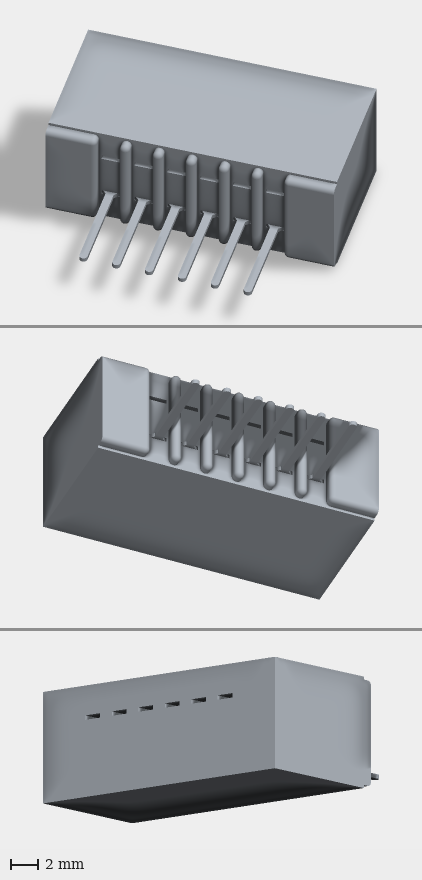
import cadquery as cq

length = 22.23
height = 8.38
housing_depth = 10.34
pin_reach = 7.35

pin_count = 6
pitch = 2.53

relief = 0.82
relief_margin = 0.22
relief_height = height - 2 * relief_margin
rib_width = 0.75
round_radius = rib_width / 2
end_block_length = 3.9

slot_width = 1.4
slot_height = 0.33
slot_row_z = 1.78
pin_width = 0.62
shoulder_half_width = 0.55
shoulder_taper = 0.25

pin_positions = [(i - (pin_count - 1) / 2) * pitch for i in range(pin_count)]
rib_positions = [x + pitch / 2 for x in pin_positions[:-1]]


def make_end_block():
    """Left end block, rounded everywhere except at the housing's end and front face."""
    block = cq.Workplane("XY").box(
        end_block_length, relief, relief_height, centered=(False, False, True)
    )
    block = block.translate((-length / 2, -relief, 0))
    inner_corners = block.edges("|Y and >X")
    front_rim = block.faces("<Y").edges("not <X")
    return block.newObject(inner_corners.vals() + front_rim.vals()).fillet(round_radius)


def make_rib(x):
    """Upright rib with round ends and a half-round front."""
    axis_y = round_radius - relief
    straight_height = relief_height - rib_width
    stem = cq.Workplane("XZ").slot2D(relief_height, rib_width, 90).extrude(-axis_y)
    rounded_front = cq.Workplane("XY").circle(round_radius).extrude(straight_height)
    rounded_front = rounded_front.translate((0, axis_y, -straight_height / 2))
    rib = stem.union(rounded_front)
    for end_z in (-straight_height / 2, straight_height / 2):
        rib = rib.union(cq.Workplane("XY").sphere(round_radius).translate((0, axis_y, end_z)))
    return rib.translate((x, 0, 0))


def make_housing():
    """Insulating body with end blocks, ribs and two rows of through slots."""
    housing = cq.Workplane("XY").box(
        length, housing_depth, height, centered=(True, False, True)
    )
    end_block = make_end_block()
    housing = housing.union(end_block).union(end_block.mirror("YZ"))
    for x in rib_positions:
        housing = housing.union(make_rib(x))
    slot_centres = [(x, z) for x in pin_positions for z in (-slot_row_z, slot_row_z)]
    slots = (
        cq.Workplane("XZ")
        .pushPoints(slot_centres)
        .rect(slot_width, slot_height)
        .extrude(-housing_depth)
    )
    return housing.cut(slots)


def make_pin(x):
    """Flat pin filling its slot, with tapered shoulders and a round tip."""
    half_slot = slot_width / 2
    half_pin = pin_width / 2
    taper_slope = shoulder_taper / (shoulder_half_width - half_pin)
    taper_start_y = (half_slot - shoulder_half_width) * taper_slope
    tip_centre_y = half_pin - pin_reach
    return (
        cq.Workplane("XY")
        .moveTo(half_slot, housing_depth)
        .lineTo(half_slot, taper_start_y)
        .lineTo(half_pin, -shoulder_taper)
        .lineTo(half_pin, tip_centre_y)
        .threePointArc((0, -pin_reach), (-half_pin, tip_centre_y))
        .lineTo(-half_pin, -shoulder_taper)
        .lineTo(-half_slot, taper_start_y)
        .lineTo(-half_slot, housing_depth)
        .close()
        .extrude(slot_height)
        .translate((x, 0, -slot_row_z - slot_height / 2))
    )


housing = make_housing()
pins = [make_pin(x) for x in pin_positions]

result = cq.Compound.makeCompound([housing.val(), *[pin.val() for pin in pins]])